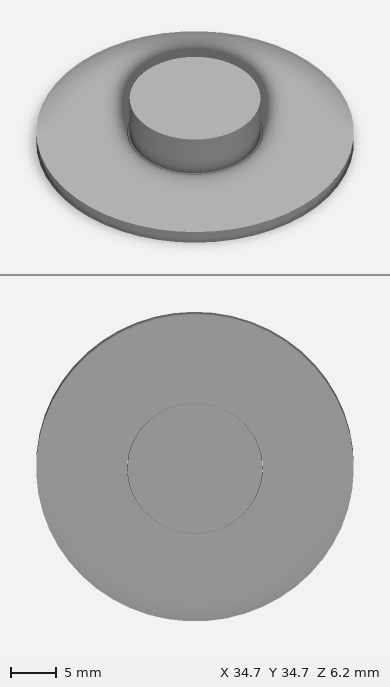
import cadquery as cq

plate_diameter = 34.7
plate_thickness = 1.5
bore_diameter = 14.8
flange_diameter = 14.7
flange_thickness = plate_thickness
boss_diameter = 14.3
total_height = 6.2


def make_plate():
    """Round flat plate with a central through bore."""
    return (
        cq.Workplane("XY")
        .circle(plate_diameter / 2)
        .circle(bore_diameter / 2)
        .extrude(plate_thickness)
    )


def make_plug():
    """Stepped plug whose flange sits in the bore with a small clearance, flush with the plate."""
    flange = cq.Workplane("XY").circle(flange_diameter / 2).extrude(flange_thickness)
    boss = cq.Workplane("XY").circle(boss_diameter / 2).extrude(total_height)
    return flange.union(boss)


plate = make_plate()
plug = make_plug()

result = cq.Compound.makeCompound([plate.val(), plug.val()])